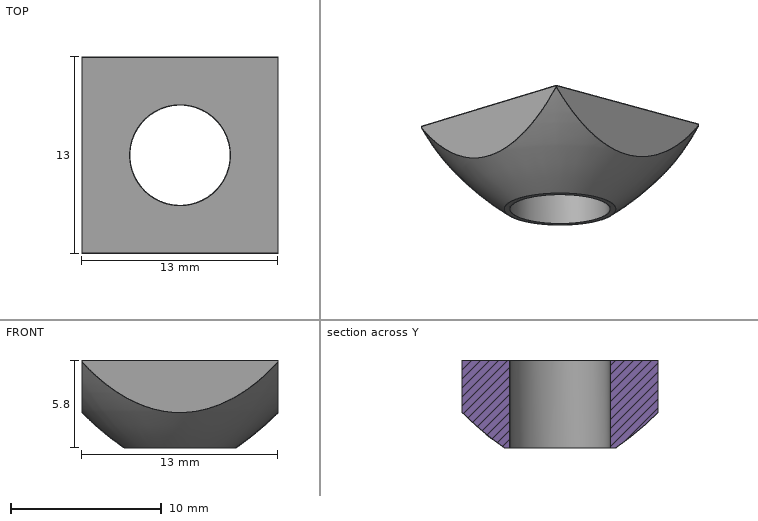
import cadquery as cq
import math

SIDE = 13.0
HEIGHT = 5.8
HOLE_DIAMETER = 6.65
SEAT_DIAMETER = 7.4
CROWN_DIAMETER = 18.5
CROWN_RADIUS = 20.0


def convex_midpoint(inner, outer, radius):
    """Middle point of the arc that bulges outward and down between two (r, z) points."""
    run = outer[0] - inner[0]
    rise = outer[1] - inner[1]
    chord = math.hypot(run, rise)
    bulge = radius - math.sqrt(radius**2 - (chord / 2) ** 2)
    mid_r = (inner[0] + outer[0]) / 2 + bulge * rise / chord
    mid_z = (inner[1] + outer[1]) / 2 - bulge * run / chord
    return (mid_r, mid_z)


def crowned_body():
    """Solid of revolution about Z with a flat top and a convex underside."""
    seat_edge = (SEAT_DIAMETER / 2, 0)
    crown_edge = (CROWN_DIAMETER / 2, HEIGHT)
    return (
        cq.Workplane("XZ")
        .moveTo(0, 0)
        .lineTo(*seat_edge)
        .threePointArc(convex_midpoint(seat_edge, crown_edge, CROWN_RADIUS), crown_edge)
        .lineTo(0, HEIGHT)
        .close()
        .revolve(360, (0, 0, 0), (0, 1, 0))
    )


def square_block():
    """Square prism that trims the crowned body to its four flat sides."""
    return cq.Workplane("XY").rect(SIDE, SIDE).extrude(HEIGHT)


def bore():
    """Cylinder that cuts the central through hole."""
    return cq.Workplane("XY").circle(HOLE_DIAMETER / 2).extrude(HEIGHT)


result = crowned_body().intersect(square_block()).cut(bore())